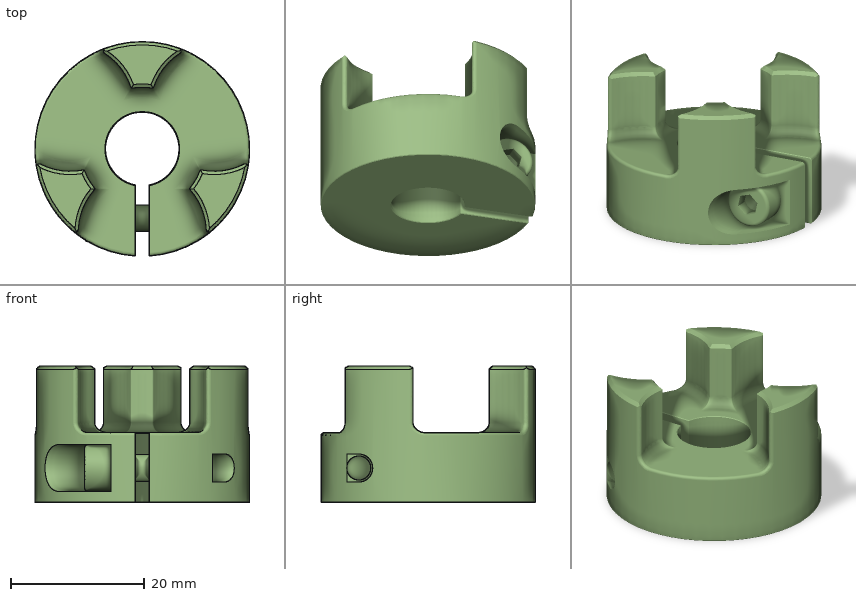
import cadquery as cq
import math

hub_radius = 16.1
deck_height = 10.5
jaw_height = 10.0
total_height = deck_height + jaw_height
bore_radius = 5.5
slit_width = 2.0
edge_break = 0.1
edge_tolerance = 0.001

jaw_count = 3
jaw_pitch = 360 / jaw_count
first_lobe_angle = 30
jaw_inner_radius = 9.25
lobe_radius = 9.6
lobe_center_radius = 12.5
lobe_reach = 2 * hub_radius
jaw_root_fillet = 1.5
jaw_corner_fillet = 0.2
rim_fillet = 0.45
jaw_top_chamfer = 0.5

screw_y = -10.4
screw_z = 5.2
shank_radius = 2.0
head_radius = 3.5
head_length = 4.0
head_edge_fillet = 0.5
socket_across_flats = 3.0
socket_depth = 2.0
socket_cone_depth = 0.8
socket_turn = -17
head_seat_x = -4.65
head_end_x = head_seat_x - head_length
screw_length = 14.0
screw_end_x = head_seat_x + screw_length

head_pocket_radius = 3.55
end_pocket_radius = 2.1
end_pocket_x = 10.55
tapped_hole_radius = 1.8


def disc_outline(radius, height):
    """Round outline of the central space, on a plane at the given height."""
    return cq.Workplane("XY").workplane(offset=height).circle(radius)


def lobe_outline(radius, height):
    """Outline of a lobe toward +X: a half circle with straight sides running out past the hub."""
    return (
        cq.Workplane("XY")
        .workplane(offset=height)
        .moveTo(lobe_center_radius, radius)
        .threePointArc((lobe_center_radius - radius, 0), (lobe_center_radius, -radius))
        .lineTo(lobe_reach, -radius)
        .lineTo(lobe_reach, radius)
        .close()
    )


def root_filleted(outline):
    """Jaw space raised from the deck, with the jaw root fillet along its floor."""
    return outline.extrude(total_height).faces("<Z").edges().fillet(jaw_root_fillet)


def jaw_spaces():
    """Everything removed above the deck, leaving the three jaws."""
    lobe = root_filleted(lobe_outline(lobe_radius, deck_height))
    spaces = root_filleted(disc_outline(jaw_inner_radius, deck_height))
    for i in range(jaw_count):
        spaces = spaces.union(lobe.rotate((0, 0, 0), (0, 0, 1), first_lobe_angle + i * jaw_pitch))
    return spaces


def chamfer_jaw_tops(hub):
    """Bevel the jaw tops at 45 degrees along the outer wall and along each jaw space."""
    start_height = total_height - 2 * jaw_top_chamfer
    flare_height = 3 * jaw_top_chamfer

    outer_bevel = disc_outline(hub_radius + jaw_top_chamfer, start_height).extrude(flare_height, taper=45)
    below = disc_outline(hub_radius + jaw_top_chamfer, 0).extrude(start_height)
    hub = hub.intersect(below.union(outer_bevel))

    inner_start = jaw_inner_radius - jaw_top_chamfer
    hub = hub.cut(disc_outline(inner_start, start_height).extrude(flare_height, taper=-45))
    lobe_flare = lobe_outline(lobe_radius - jaw_top_chamfer, start_height).extrude(flare_height, taper=-45)
    for i in range(jaw_count):
        hub = hub.cut(lobe_flare.rotate((0, 0, 0), (0, 0, 1), first_lobe_angle + i * jaw_pitch))
    return hub


def along_x(radius, start_x, end_x):
    """Cylinder on the screw axis between two X positions."""
    return (
        cq.Workplane("YZ", origin=(start_x, screw_y, screw_z))
        .circle(radius)
        .extrude(end_x - start_x)
    )


def screw_pocket(radius, start_x, end_x):
    """U-shaped pocket around the screw axis, open toward -Y."""
    length = end_x - start_x
    opening = (
        cq.Workplane("XY")
        .box(length, hub_radius, 2 * radius)
        .translate((start_x + length / 2, screw_y - hub_radius / 2, screw_z))
    )
    return along_x(radius, start_x, end_x).union(opening)


def lies_at_radius(edge, radius):
    """True when an edge keeps the same distance from the hub axis all along."""
    points = [edge.positionAt(fraction) for fraction in (0, 0.5, 1)]
    return all(math.isclose(math.hypot(p.x, p.y), radius, abs_tol=edge_tolerance) for p in points)


def jaw_corner_edges(hub):
    """Upright inner corners of the jaws."""
    return [edge for edge in hub.edges("|Z").vals() if lies_at_radius(edge, jaw_inner_radius)]


def rim_edges(hub):
    """Edges where the jaw spaces break out through the outer wall."""
    lowest = deck_height - edge_tolerance
    highest = total_height - jaw_top_chamfer
    return [
        edge
        for edge in hub.edges().vals()
        if lowest < edge.Center().z < highest and lies_at_radius(edge, hub_radius)
    ]


def break_edges(hub):
    """Small chamfer around the underside, the bore's deck edge and the mouth of the slit."""
    bore_edge_zone = cq.selectors.BoxSelector(
        (-bore_radius / 2, -bore_radius / 2, deck_height - edge_break),
        (bore_radius / 2, bore_radius / 2, deck_height + edge_break),
    )
    slit_mouth_zone = cq.selectors.BoxSelector(
        (-slit_width, -hub_radius, edge_break),
        (slit_width, -hub_radius + rim_fillet, deck_height),
    )
    sharp_edges = hub.faces("<Z").edges().vals()
    sharp_edges += hub.edges(bore_edge_zone).vals()
    sharp_edges += hub.edges(slit_mouth_zone).vals()
    return hub.newObject(sharp_edges).chamfer(edge_break)


def make_hub():
    hub = cq.Workplane("XY").circle(hub_radius).extrude(total_height)
    hub = hub.cut(jaw_spaces())
    hub = hub.newObject(jaw_corner_edges(hub)).fillet(jaw_corner_fillet)
    hub = hub.newObject(rim_edges(hub)).fillet(rim_fillet)
    hub = chamfer_jaw_tops(hub)

    bore = cq.Workplane("XY").circle(bore_radius).extrude(deck_height)
    slit = cq.Workplane("XY").center(0, -hub_radius / 2).rect(slit_width, hub_radius).extrude(deck_height)
    hub = break_edges(hub.cut(bore.union(slit)))

    hub = hub.cut(screw_pocket(head_pocket_radius, -hub_radius, head_seat_x))
    hub = hub.cut(screw_pocket(end_pocket_radius, end_pocket_x, hub_radius))
    hub = hub.cut(along_x(shank_radius, head_seat_x, screw_end_x))
    return hub.cut(along_x(tapped_hole_radius, screw_end_x, end_pocket_x))


def hex_socket():
    """Hexagonal socket sunk into the screw head, with a conical bottom."""
    across_corners = socket_across_flats / math.cos(math.pi / 6)
    socket = (
        cq.Workplane("YZ", origin=(head_end_x, screw_y, screw_z))
        .transformed(rotate=(0, 0, socket_turn))
        .polygon(6, across_corners)
        .extrude(socket_depth)
    )
    cone_base = cq.Vector(head_end_x + socket_depth, screw_y, screw_z)
    cone = cq.Solid.makeCone(socket_across_flats / 2, 0, socket_cone_depth, cone_base, cq.Vector(1, 0, 0))
    return socket.union(cq.Workplane(cone))


def make_screw():
    head = along_x(head_radius, head_end_x, head_seat_x)
    head = head.faces("<X").edges().fillet(head_edge_fillet)
    shank = along_x(shank_radius, head_seat_x, screw_end_x)
    return head.union(shank).cut(hex_socket())


hub = make_hub()
screw = make_screw()
result = cq.Compound.makeCompound([hub.solids().val(), screw.solids().val()])